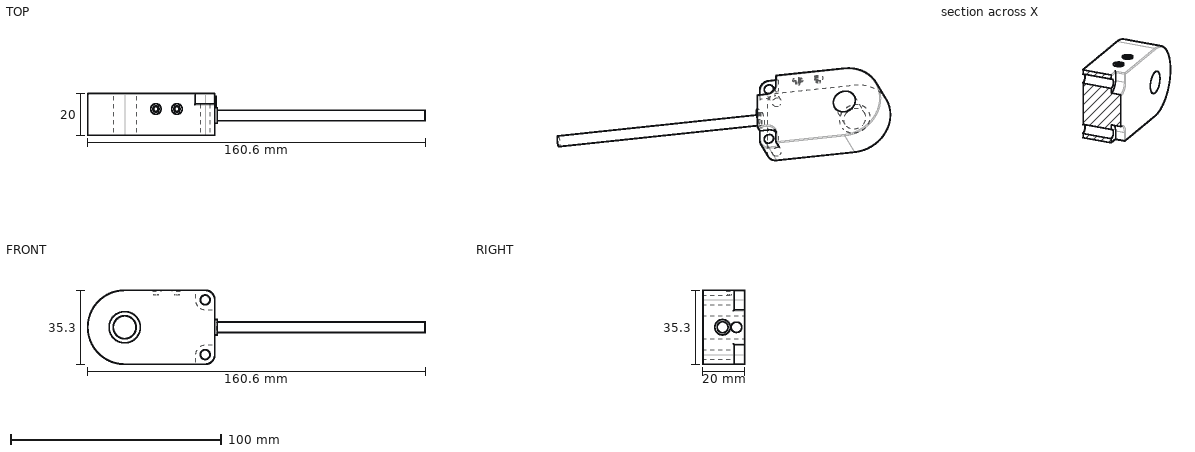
import cadquery as cq
import math

housing_height = 35.3
nose_radius = housing_height / 2
housing_length = 60.6
housing_depth = 20.0
corner_radius = 4.65
rear_fillet = 0.5

bore_diameter = 10.8
ring_diameter = 14.9
ring_recess = 0.2

mount_x = housing_length - corner_radius
mount_z = nose_radius - corner_radius
mount_diameter = 4.5

pocket_radius = corner_radius
pocket_depth = 5.0
pocket_left = mount_x - pocket_radius
pocket_floor = mount_z - pocket_radius
pocket_wall_y = housing_depth - pocket_depth

screw_positions_x = (32.5, 42.5)
screw_y = 12.5
screw_diameter = 5.0
screw_recess = 0.3
socket_width = 2.0
socket_depth = 2.0
socket_mouth_diameter = 3.0
socket_mouth_depth = 0.3
hex_corner_diameter = socket_width * 2 / math.sqrt(3)

cable_y = 9.4
cable_diameter = 5.2
cable_length = 100.0
collar_diameter = 7.4
collar_length = 1.2

lamp_y = 16.0
lamp_diameter = 5.0
lamp_height = 0.6


def prism_from_front(outline, start_y, end_y):
    """Extrude an outline drawn in the XZ plane at start_y toward +Y up to end_y."""
    return outline.extrude(start_y - end_y)


def front_plane(y):
    """Plane with local x along +X and local y along +Z, at the given Y."""
    return cq.Workplane("XZ", origin=(0, y, 0))


def end_rod(y, diameter, length):
    """Rod along +X that starts on the end face."""
    return cq.Workplane("YZ", origin=(housing_length, y, 0)).circle(diameter / 2).extrude(length)


def make_housing():
    return prism_from_front(
        front_plane(0)
        .moveTo(nose_radius, nose_radius)
        .lineTo(mount_x, nose_radius)
        .radiusArc((housing_length, mount_z), corner_radius)
        .lineTo(housing_length, -mount_z)
        .radiusArc((mount_x, -nose_radius), corner_radius)
        .lineTo(nose_radius, -nose_radius)
        .threePointArc((0, 0), (nose_radius, nose_radius))
        .close(),
        0,
        housing_depth,
    )


def make_corner_pocket():
    """Cutter for the upper pocket: quarter round about the hole, open to +X and +Z."""
    return prism_from_front(
        front_plane(pocket_wall_y)
        .moveTo(pocket_left, nose_radius)
        .lineTo(pocket_left, mount_z)
        .radiusArc((mount_x, pocket_floor), -pocket_radius)
        .lineTo(housing_length, pocket_floor)
        .lineTo(housing_length, nose_radius)
        .close(),
        pocket_wall_y,
        housing_depth,
    )


def cut_corner_pockets(body):
    """Cut both pockets, then round the rear outline together with the pocket rims."""
    pocket = make_corner_pocket()
    mid_y = housing_depth - pocket_depth / 2
    arc_offset = corner_radius * math.sqrt(0.5)
    pocketed = body.cut(pocket).cut(pocket.mirror("XY"))
    rounded = pocketed.faces(">Y").edges()
    for side in (1, -1):
        rim_points = (
            (pocket_left, mid_y, side * nose_radius),
            ((pocket_left + mount_x) / 2, pocket_wall_y, side * nose_radius),
            (mount_x + arc_offset, pocket_wall_y, side * (mount_z + arc_offset)),
            (housing_length, pocket_wall_y, side * (pocket_floor + mount_z) / 2),
            (housing_length, mid_y, side * pocket_floor),
        )
        for point in rim_points:
            rounded = rounded.add(pocketed.edges(cq.selectors.NearestToPointSelector(point)))
    return rounded.fillet(rear_fillet)


def cut_through_holes(body):
    bore = prism_from_front(front_plane(0).center(nose_radius, 0).circle(bore_diameter / 2), 0, housing_depth)
    recess = prism_from_front(front_plane(0).center(nose_radius, 0).circle(ring_diameter / 2), 0, ring_recess)
    mounts = prism_from_front(
        front_plane(0).pushPoints([(mount_x, mount_z), (mount_x, -mount_z)]).circle(mount_diameter / 2),
        0,
        housing_depth,
    )
    return body.cut(bore).cut(recess).cut(mounts)


def cut_adjusting_screws(body):
    head_z = nose_radius - screw_recess
    for screw_x in screw_positions_x:
        head = cq.Workplane("XY", origin=(screw_x, screw_y, head_z))
        recess = head.circle(screw_diameter / 2).extrude(screw_recess)
        socket = head.polygon(6, hex_corner_diameter).extrude(-socket_depth)
        mouth = (
            head.circle(socket_mouth_diameter / 2)
            .workplane(offset=-socket_mouth_depth)
            .circle(hex_corner_diameter / 2)
            .loft()
        )
        body = body.cut(recess).cut(socket).cut(mouth)
    return body


housing = cut_corner_pockets(make_housing())
housing = cut_adjusting_screws(cut_through_holes(housing))

collar = end_rod(cable_y, collar_diameter, collar_length)
cable = end_rod(cable_y, cable_diameter, cable_length)
lamp = end_rod(lamp_y, lamp_diameter, lamp_height)
result = housing.union(collar).union(cable).union(lamp)